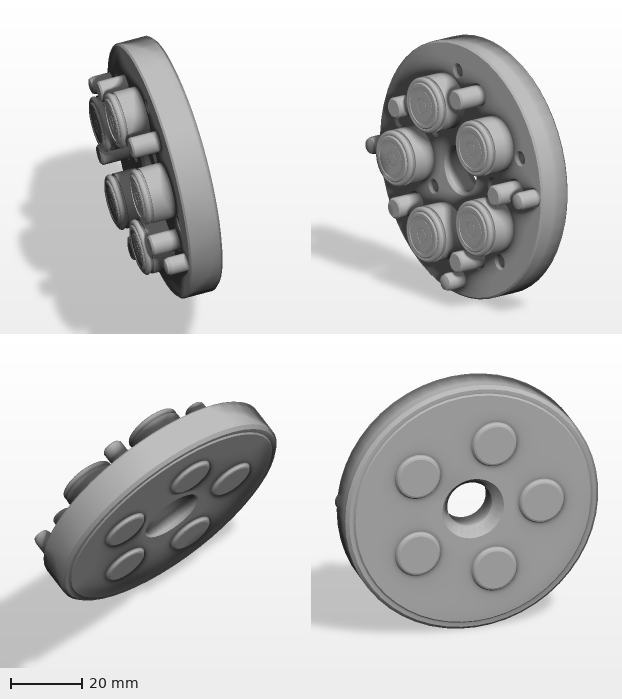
import cadquery as cq
import math


PLATE_DIAMETER = 74.0
RIM_END_Y = 8.95
SHOULDER_Y = 9.9
BACK_Y = 10.35
BACK_STEP_DIAMETER = 69.55
FRONT_CHAMFER = 0.5
BORE_DIAMETER = 13.0
BORE_CHAMFER = 0.75
BORE_FLARE_Y = 6.9
BORE_FLARE_DIAMETER = 18.0

PATTERN_COUNT = 5
PATTERN_STEP = 360.0 / PATTERN_COUNT

HEAD_CIRCLE_RADIUS = 20.0
HEAD_START_ANGLE = 36.0
HEAD_DIAMETER = 16.0
HEAD_SHANK_LENGTH = 6.45
HEAD_NECK_DIAMETER = 15.1
HEAD_LENGTH = 8.95
RING_SECTION_RADIUS = 0.9
RING_CENTRE_Y = -7.7
CAP_DIAMETER = 13.4
CAP_CHAMFER = 0.4
CAP_RECESSES = [
    (11.0, 8.9, 0.2),
    (8.9, 4.5, 0.15),
    (4.5, 3.3, 0.2),
    (3.3, 0.0, 0.15),
]
FOOT_END_Y = 11.5
FOOT_SHOULDER_Y = 11.25
FOOT_SHOULDER_DIAMETER = 12.3
FOOT_END_DIAMETER = 11.25

PIN_CIRCLE_RADIUS = 25.0
PIN_DIAMETER = 6.0
PIN_LENGTH = 8.0
PIN_CHAMFER = 0.5
PIN_SINK_DIAMETER = 7.0

DOWEL_DIAMETER = 5.0
DOWEL_TIP_DIAMETER = 4.3
DOWEL_TAPER_LENGTH = 1.1
DOWEL_DOME_HEIGHT = 0.45
SIDE_DOWEL_OFFSET = 33.4
SIDE_DOWEL_LENGTH = 6.45
SIDE_DOWEL_SINK_DIAMETER = 5.7
LOWER_DOWEL_OFFSET = 32.0
LOWER_DOWEL_LENGTH = 6.0

SCREW_HOLE_DIAMETER = 3.3
SCREW_SINK_DIAMETER = 4.45
SCREW_HOLE_DEPTH = 0.95
SCREW_HOLE_OFFSET = 11.0
SCREW_DIAGONAL_ANGLE = -45.0


def polar(radius, angle):
    """Return (x, z) at an angle in degrees from +X toward +Z."""
    turn = math.radians(angle)
    return radius * math.cos(turn), radius * math.sin(turn)


def pattern_angles(start):
    return [start + index * PATTERN_STEP for index in range(PATTERN_COUNT)]


def turned(profile):
    """Revolve a closed (radius, y) profile about the Y axis."""
    return profile.close().revolve(360, (0, 0), (0, 1))


def at_places(body, places):
    """Return one copy of a Y-axis body at each (x, z) place."""
    copies = cq.Workplane("XY")
    for x, z in places:
        copies = copies.add(body.translate((x, 0, z)).vals())
    return copies.combine()


def ring(outer_diameter, inner_diameter, y_start, y_end):
    """Flat ring about the Y axis, or a disc when the inner diameter is 0."""
    outline = [
        (inner_diameter / 2, y_start),
        (outer_diameter / 2, y_start),
        (outer_diameter / 2, y_end),
        (inner_diameter / 2, y_end),
    ]
    return turned(cq.Workplane("XY").polyline(outline))


def countersink(wide_diameter, narrow_diameter):
    """45 degree cone that opens at the front face."""
    wide = wide_diameter / 2
    depth = (wide_diameter - narrow_diameter) / 2
    outline = [(0, 0), (wide, 0), (wide - depth, depth), (0, depth)]
    return turned(cq.Workplane("XY").polyline(outline))


def make_plate():
    radius = PLATE_DIAMETER / 2
    bore = BORE_DIAMETER / 2
    step = BACK_STEP_DIAMETER / 2
    outline = [
        (bore + BORE_CHAMFER, 0),
        (radius - FRONT_CHAMFER, 0),
        (radius, FRONT_CHAMFER),
        (radius, RIM_END_Y),
        (radius - (SHOULDER_Y - RIM_END_Y), SHOULDER_Y),
        (step, SHOULDER_Y),
        (step - (BACK_Y - SHOULDER_Y), BACK_Y),
        (BORE_FLARE_DIAMETER / 2, BACK_Y),
        (bore, BORE_FLARE_Y),
        (bore, BORE_CHAMFER),
    ]
    return turned(cq.Workplane("XY").polyline(outline))


def make_head():
    radius = HEAD_DIAMETER / 2
    cap = CAP_DIAMETER / 2
    ring_centre = radius - RING_SECTION_RADIUS
    neck = HEAD_NECK_DIAMETER / 2
    ring_rear_y = RING_CENTRE_Y + math.sqrt(RING_SECTION_RADIUS**2 - (neck - ring_centre) ** 2)
    ring_front_y = RING_CENTRE_Y - math.sqrt(RING_SECTION_RADIUS**2 - (cap - ring_centre) ** 2)
    profile = (
        cq.Workplane("XY")
        .moveTo(0, -HEAD_LENGTH)
        .lineTo(cap - CAP_CHAMFER, -HEAD_LENGTH)
        .lineTo(cap, CAP_CHAMFER - HEAD_LENGTH)
        .lineTo(cap, ring_front_y)
        .threePointArc((radius, RING_CENTRE_Y), (neck, ring_rear_y))
        .lineTo(neck, -HEAD_SHANK_LENGTH)
        .lineTo(radius, -HEAD_SHANK_LENGTH)
        .lineTo(radius, 0)
        .lineTo(cap, 0)
        .lineTo(cap, BACK_Y)
        .lineTo(FOOT_SHOULDER_DIAMETER / 2, FOOT_SHOULDER_Y)
        .lineTo(FOOT_END_DIAMETER / 2, FOOT_END_Y)
        .lineTo(0, FOOT_END_Y)
    )

    head = turned(profile)
    for outer, inner, depth in CAP_RECESSES:
        head = head.cut(ring(outer, inner, -HEAD_LENGTH, depth - HEAD_LENGTH))
    return head


def make_pin():
    radius = PIN_DIAMETER / 2
    outline = [
        (0, -PIN_LENGTH),
        (radius - PIN_CHAMFER, -PIN_LENGTH),
        (radius, PIN_CHAMFER - PIN_LENGTH),
        (radius, RIM_END_Y),
        (0, RIM_END_Y),
    ]
    return turned(cq.Workplane("XY").polyline(outline))


def make_dowel(length):
    radius = DOWEL_DIAMETER / 2
    tip = DOWEL_TIP_DIAMETER / 2
    dome_y = DOWEL_DOME_HEIGHT - length
    dome_radius = (tip**2 + DOWEL_DOME_HEIGHT**2) / (2 * DOWEL_DOME_HEIGHT)
    half_tip = tip / 2
    dome_middle_y = dome_radius - length - math.sqrt(dome_radius**2 - half_tip**2)
    profile = (
        cq.Workplane("XY")
        .moveTo(0, -length)
        .threePointArc((half_tip, dome_middle_y), (tip, dome_y))
        .lineTo(radius, dome_y + DOWEL_TAPER_LENGTH)
        .lineTo(radius, RIM_END_Y)
        .lineTo(0, RIM_END_Y)
    )
    return turned(profile)


def make_screw_hole():
    radius = SCREW_HOLE_DIAMETER / 2
    outline = [(0, 0), (radius, 0), (radius, SCREW_HOLE_DEPTH), (0, SCREW_HOLE_DEPTH)]
    hole = turned(cq.Workplane("XY").polyline(outline))
    return hole.union(countersink(SCREW_SINK_DIAMETER, SCREW_HOLE_DIAMETER))


head_places = []
screw_places = []
for angle in pattern_angles(HEAD_START_ANGLE):
    head_x, head_z = polar(HEAD_CIRCLE_RADIUS, angle)
    shift_x, shift_z = polar(SCREW_HOLE_OFFSET, angle + SCREW_DIAGONAL_ANGLE)
    head_places.append((head_x, head_z))
    screw_places.append((head_x + shift_x, head_z + shift_z))
    screw_places.append((head_x - shift_x, head_z - shift_z))

pin_places = [polar(PIN_CIRCLE_RADIUS, angle) for angle in pattern_angles(0)]
side_dowel_places = [(-SIDE_DOWEL_OFFSET, 0), (SIDE_DOWEL_OFFSET, 0)]
lower_dowel_places = [(0, -LOWER_DOWEL_OFFSET)]

result = (
    make_plate()
    .cut(at_places(make_screw_hole(), screw_places))
    .cut(at_places(countersink(PIN_SINK_DIAMETER, PIN_DIAMETER), pin_places))
    .cut(at_places(countersink(SIDE_DOWEL_SINK_DIAMETER, DOWEL_DIAMETER), side_dowel_places))
    .union(at_places(make_head(), head_places))
    .union(at_places(make_pin(), pin_places))
    .union(at_places(make_dowel(SIDE_DOWEL_LENGTH), side_dowel_places))
    .union(at_places(make_dowel(LOWER_DOWEL_LENGTH), lower_dowel_places))
)